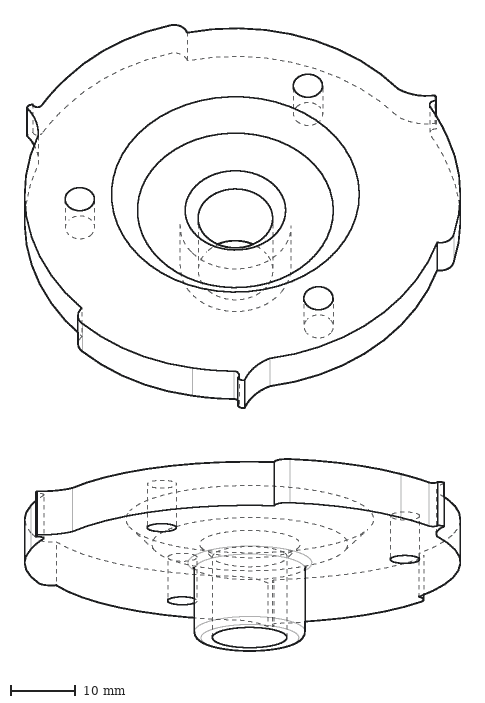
import cadquery as cq
import math

FULL_TURN = 360.0

DISC_THICKNESS = 7.0
TOOTH_COUNT = 3
SECTOR_ANGLE = FULL_TURN / TOOTH_COUNT
FIRST_TOOTH_ANGLE = 180.0

LOW_RADIUS = 32.5
HIGH_RADIUS = 34.56
BULGE_RADIUS = 34.7
STEP_CORNER_RADIUS = 2.1
STEP_CORNER_ANGLE = 74.7
BULGE_END_ANGLE = 106.7

TIP = (36.33, 0.0)
TIP_MIDDLE = (36.27, -0.55)
FLANK_MIDDLE = (33.9, 1.62)
FLANK_END_ANGLE = 7.1
HOOK_RADIUS = 0.8
HOOK_CENTRE_Y = -1.6
HOOK_TIP_X = 35.85

HUB_DIAMETER = 17.1
HUB_LENGTH = 12.0
HUB_FILLET = 1.0
BORE_DIAMETER = 11.5
BORE_CHAMFER = 2.0

RECESS_FLOOR_DIAMETER = 30.2
RECESS_DEPTH = 4.0
RECESS_TOP_DIAMETER = RECESS_FLOOR_DIAMETER + 2 * RECESS_DEPTH

SCREW_COUNT = 3
SCREW_DIAMETER = 4.5
SCREW_CIRCLE_RADIUS = 24.0
FIRST_SCREW_ANGLE = 90.0


def polar(radius, angle):
    """Point at a radius and an angle in degrees."""
    return (radius * math.cos(math.radians(angle)), radius * math.sin(math.radians(angle)))


def angle_of(point):
    """Polar angle of a point in degrees."""
    return math.degrees(math.atan2(point[1], point[0]))


def turn(point, angle):
    """Point turned about the disc axis by an angle in degrees."""
    return polar(math.hypot(*point), angle_of(point) + angle)


def offset(point, distance, angle):
    """Point moved by a distance in the direction of an angle in degrees."""
    step = polar(distance, angle)
    return (point[0] + step[0], point[1] + step[1])


def step_corner():
    """Start, middle, end of the rounded corner between the low and the high rim."""
    centre = polar(HIGH_RADIUS - STEP_CORNER_RADIUS, STEP_CORNER_ANGLE)
    foot_swing = math.degrees(math.asin(STEP_CORNER_RADIUS / LOW_RADIUS))
    foot = polar(LOW_RADIUS, STEP_CORNER_ANGLE - foot_swing)
    halfway = 45.0
    middle = offset(centre, STEP_CORNER_RADIUS, STEP_CORNER_ANGLE - halfway)
    end = polar(HIGH_RADIUS, STEP_CORNER_ANGLE)
    return foot, middle, end


def hook_hollow():
    """Start, middle, end of the hollow arc from the high rim to the hook of the tooth."""
    centre_radius = HIGH_RADIUS + HOOK_RADIUS
    centre_angle = math.degrees(math.asin(HOOK_CENTRE_Y / centre_radius))
    centre = polar(centre_radius, centre_angle)
    start_angle = centre_angle + 180.0
    end_angle = math.degrees(math.acos((HOOK_TIP_X - centre[0]) / HOOK_RADIUS))
    start = polar(HIGH_RADIUS, centre_angle)
    middle = offset(centre, HOOK_RADIUS, (start_angle + end_angle) / 2)
    end = offset(centre, HOOK_RADIUS, end_angle)
    return start, middle, end


def add_sector(outline, angle):
    """Append one sector, from the tip of its tooth to the tip of the next tooth."""
    low_start = polar(LOW_RADIUS, FLANK_END_ANGLE)
    low_end, corner_middle, high_start = step_corner()
    hollow_start, hollow_middle, hook = [turn(p, SECTOR_ANGLE) for p in hook_hollow()]
    low_middle_angle = (FLANK_END_ANGLE + angle_of(low_end)) / 2
    bulge_middle_angle = (STEP_CORNER_ANGLE + BULGE_END_ANGLE) / 2
    high_middle_angle = (BULGE_END_ANGLE + angle_of(hollow_start)) / 2
    arcs = [
        (FLANK_MIDDLE, low_start),
        (polar(LOW_RADIUS, low_middle_angle), low_end),
        (corner_middle, high_start),
        (polar(BULGE_RADIUS, bulge_middle_angle), polar(HIGH_RADIUS, BULGE_END_ANGLE)),
        (polar(HIGH_RADIUS, high_middle_angle), hollow_start),
        (hollow_middle, hook),
        (turn(TIP_MIDDLE, SECTOR_ANGLE), turn(TIP, SECTOR_ANGLE)),
    ]
    for middle, end in arcs:
        outline = outline.threePointArc(turn(middle, angle), turn(end, angle))
    return outline


def make_disc():
    """Toothed disc."""
    outline = cq.Workplane("XY").moveTo(*turn(TIP, FIRST_TOOTH_ANGLE))
    for index in range(TOOTH_COUNT):
        outline = add_sector(outline, FIRST_TOOTH_ANGLE + index * SECTOR_ANGLE)
    return outline.close().extrude(DISC_THICKNESS)


def make_hub():
    """Hub below the disc, rounded at its end and flared where it meets the disc."""
    radius = HUB_DIAMETER / 2
    fillet = HUB_FILLET
    profile = (
        cq.Workplane("XZ")
        .moveTo(0, -HUB_LENGTH)
        .lineTo(radius - fillet, -HUB_LENGTH)
        .radiusArc((radius, fillet - HUB_LENGTH), -fillet)
        .lineTo(radius, -fillet)
        .radiusArc((radius + fillet, 0), fillet)
        .lineTo(0, 0)
        .close()
    )
    return profile.revolve(FULL_TURN, (0, 0, 0), (0, 1, 0))


def make_recess_and_bore():
    """Conical recess and the bore through the hub, with a chamfered bore mouth."""
    floor = DISC_THICKNESS - RECESS_DEPTH
    bore_radius = BORE_DIAMETER / 2
    profile = (
        cq.Workplane("XZ")
        .moveTo(0, -HUB_LENGTH)
        .lineTo(bore_radius, -HUB_LENGTH)
        .lineTo(bore_radius, floor - BORE_CHAMFER)
        .lineTo(bore_radius + BORE_CHAMFER, floor)
        .lineTo(RECESS_FLOOR_DIAMETER / 2, floor)
        .lineTo(RECESS_TOP_DIAMETER / 2, DISC_THICKNESS)
        .lineTo(0, DISC_THICKNESS)
        .close()
    )
    return profile.revolve(FULL_TURN, (0, 0, 0), (0, 1, 0))


def make_screw_holes():
    """Cutters for the through holes around the recess."""
    return (
        cq.Workplane("XY")
        .polarArray(SCREW_CIRCLE_RADIUS, FIRST_SCREW_ANGLE, FULL_TURN, SCREW_COUNT)
        .circle(SCREW_DIAMETER / 2)
        .extrude(DISC_THICKNESS)
    )


result = make_disc().union(make_hub()).cut(make_recess_and_bore()).cut(make_screw_holes())